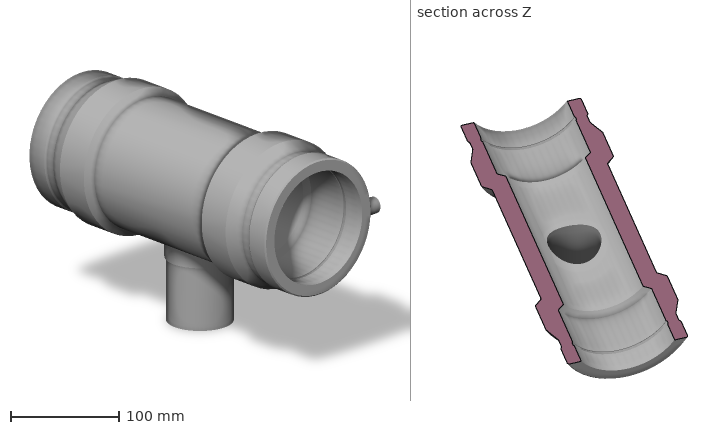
import cadquery as cq

length = 326.0
half_length = length / 2
pipe_radius = 128.8 / 2
bore_radius = 99.0 / 2

rim_radius = 133.0 / 2
neck_radius = 130.5 / 2
barrel_radius = 143.0 / 2
rim_chamfer = 1.3
rim_end = 22.0
neck_start = 23.8
neck_end = 33.0
barrel_start = 49.0
barrel_end = 81.8
pipe_start = 88.7
socket_radius = 110.0 / 2
socket_depth = 70.0
socket_taper = 5.2
groove_start = 22.2
groove_end = 25.8
groove_radius = socket_radius + 0.5

branch_radius = 63.0 / 2
branch_bore_radius = 50.5 / 2
overall_height = 205.5
branch_bottom = overall_height - barrel_radius
collar_radius = 66.2 / 2
collar_bottom = barrel_radius

pin_inset = 11.5
overall_width = 152.5
pin_tip = overall_width - barrel_radius
pin_tip_radius = 7.8
pin_base = 65.2
pin_base_radius = 8.8


def revolve_about_x(right_half):
    """Revolve a profile given by its right half of (x, radius) points, inner end first."""
    left_half = [(-x, radius) for x, radius in reversed(right_half)]
    profile = left_half + right_half
    outline = [(profile[0][0], 0)] + profile + [(profile[-1][0], 0)]
    return cq.Workplane("XY").polyline(outline).close().revolve(360, (0, 0, 0), (1, 0, 0))


def make_pipe_body():
    return revolve_about_x([
        (half_length - pipe_start, pipe_radius),
        (half_length - barrel_end, barrel_radius),
        (half_length - barrel_start, barrel_radius),
        (half_length - neck_end, neck_radius),
        (half_length - neck_start, neck_radius),
        (half_length - rim_end, rim_radius),
        (half_length - rim_chamfer, rim_radius),
        (half_length, rim_radius - rim_chamfer),
    ])


def make_pipe_bore():
    return revolve_about_x([
        (half_length - socket_depth - socket_taper, bore_radius),
        (half_length - socket_depth, socket_radius),
        (half_length - groove_end, socket_radius),
        (half_length - groove_end, groove_radius),
        (half_length - groove_start, groove_radius),
        (half_length - groove_start, socket_radius),
        (half_length, socket_radius),
    ])


def downward_cylinder(radius, depth):
    """Cylinder from the pipe axis down to the given depth."""
    return cq.Workplane("XY").circle(radius).extrude(-depth)


def make_pin(x):
    return (
        cq.Workplane("XZ", origin=(x, pin_base, 0))
        .circle(pin_base_radius)
        .workplane(offset=pin_base - pin_tip)
        .circle(pin_tip_radius)
        .loft()
    )


result = make_pipe_body()
result = result.union(downward_cylinder(collar_radius, collar_bottom))
result = result.union(downward_cylinder(branch_radius, branch_bottom))
for side in (-1, 1):
    result = result.union(make_pin(side * (half_length - pin_inset)))
result = result.cut(make_pipe_bore())
result = result.cut(downward_cylinder(branch_bore_radius, branch_bottom))